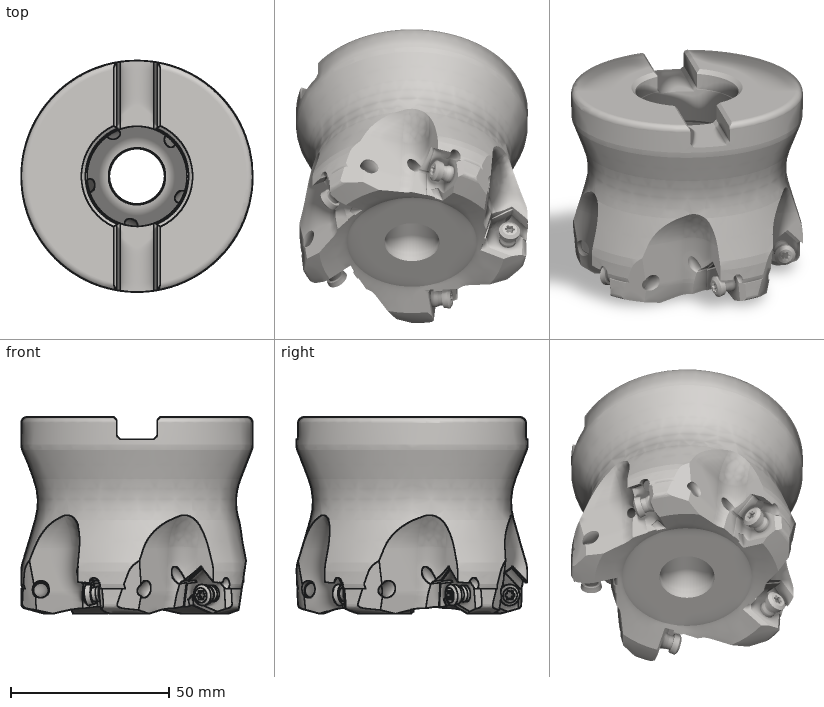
import cadquery as cq
import math


TOOTH_COUNT = 5
TOOTH_PITCH = 360 / TOOTH_COUNT

BODY_RADIUS = 36.6
BODY_HEIGHT = 62.2
TOP_ROUND = 2.0
SHOULDER_Z = 52.5
SHOULDER_ROUND = 5.0
NECK_Z = 36.2
NECK_VERTEX_RADIUS = 30.2
NECK_ROUND = 20.0
BELLY_Z = 14.8
BELLY_ROUND = 10.0
GROOVE_TOP_Z = 9.4
GROOVE_BOTTOM_Z = 7.8
GROOVE_DEPTH = 0.45
RIM_ROUND = 1.45
LIP_RADIUS = 29.3
LIP_ANGLE = 15.4
DISH_ANGLE = 20.0
DISH_INNER_RADIUS = 20.5

SCREW_BORE_RADIUS = 8.7
SCREW_BORE_CHAMFER = 0.3
ARBOR_BORE_RADIUS = 15.8
ARBOR_FLOOR_Z = 30.7
PILOT_RADIUS = 16.3
PILOT_BOTTOM_Z = 56.0
PILOT_CHAMFER = 1.25
RELIEF_RADIUS = 16.3
RELIEF_TOP_Z = 45.35
RELIEF_TAPER = 0.7
SLOT_WIDTH = 12.7
SLOT_FLOOR_Z = 55.15
SLOT_CHAMFER = 1.0
SLOT_HALF_LENGTH = 40.25

POCKET_REACH = 58.5
POCKET_BOTTOM_Z = -3.65
HEEL_WALL_AZIMUTH = -39.0
HEEL_WALL_OFFSET = 23.5
HEEL_WALL_TILT = 3.5
HEEL_WALL_LOW_TILT = 11.5
HEEL_WALL_BEND_Z = 6.5
HEEL_WALL_BEND_ROUND = 10.0
HEEL_RUNOUT_RADIUS = 14.3
TOOTH_WALL_AZIMUTH = -126.0
TOOTH_WALL_OFFSET = 8.1
TOOTH_RUNOUT_RADIUS = 20.0
RUNOUT_Z = 20.8
GULLET_RADIUS = 6.5

HEEL_FLAT_AZIMUTH = -72.5
HEEL_FLAT_TILT = -8.5
HEEL_FLAT_OFFSET = 31.7
HEEL_FLAT_END = 3.65

SEAT_AZIMUTH = -126.5
SEAT_TILT = -5.5
SEAT_CENTRE = (23.85, -18.65, 6.45)
SEAT_INNER_FOOT = (-8.55, -8.05)
SEAT_INNER_CORNER = (-5.8, 4.1)
SEAT_TOP_CORNER = (0.95, 8.8)
SEAT_OUTER_REACH = 10.25
SEAT_ROUND = 2.2
SEAT_WALL_HEIGHT = 5.1
SEAT_STEP = 0.4
SEAT_DEPTH = 13.2
CORNER_RELIEF_RADIUS = 0.5
SEAT_GROOVE_RADIUS = 1.75
SEAT_GROOVE_POINT = (0.0, 8.8, 0.9)
BEVEL_LENGTH = 10.25
SIDE_BEVEL_U = 4.75
SIDE_BEVEL_TOP_V = 1.45
SIDE_BEVEL_ANGLE = 45.0
FOOT_BEVEL_POINT = (-3.0, -4.2)
FOOT_BEVEL_SLOPE = -20.0
FOOT_BEVEL_ANGLE = 29.0
FOOT_BEVEL_WIDTH = 5.1
FOOT_BEVEL_HEIGHT = 2.55

THREAD_RADIUS = 2.6
THREAD_LENGTH = 9.9
THREAD_END_CHAMFER = 0.3
THREAD_RISE = 1.1
HOLE_LENGTH = 21.95
SHANK_RADIUS = 2.3
HEAD_RADIUS = 3.4
HEAD_FACE_RADIUS = 2.35
HEAD_TOP = 6.2
HEAD_LENGTH = 2.55
HEAD_BEVEL_LENGTH = 0.7
HEAD_TAPER = 0.3
SOCKET_DEPTH = 1.45
SOCKET_RADIUS = 1.2
LOBE_COUNT = 6
LOBE_RADIUS = 0.45

COOLANT_RADIUS = 1.6
COOLANT_INLET = (-1.8, -15.15, ARBOR_FLOOR_Z)
COOLANT_OUTLET = (12.45, -22.45, 12.45)
COOLANT_OVERRUN = 4.4


def tan(angle):
    """Tangent of an angle in degrees."""
    return math.tan(math.radians(angle))


def direction(azimuth, tilt=0.0):
    """Unit vector at an azimuth about Z, tilted up from the XY plane."""
    a = math.radians(azimuth)
    t = math.radians(tilt)
    return cq.Vector(math.cos(t) * math.cos(a), math.cos(t) * math.sin(a), math.sin(t))


def facing_plane(origin, azimuth, tilt):
    """Plane whose normal has the given azimuth and tilt, with a horizontal X axis."""
    return cq.Plane(origin=origin, xDir=direction(azimuth + 90), normal=direction(azimuth, tilt))


def around_axis(shape, index):
    """Copy of a tooth feature turned to the tooth with the given index."""
    return shape.rotate((0, 0, 0), (0, 0, 1), index * TOOTH_PITCH)


SEAT_PLANE = facing_plane(SEAT_CENTRE, SEAT_AZIMUTH, SEAT_TILT)


def body_blank():
    """Turned outer shape with a dished underside."""
    lip_rise = (BODY_RADIUS - LIP_RADIUS) * tan(LIP_ANGLE)
    dish_rise = (LIP_RADIUS - DISH_INNER_RADIUS) * tan(DISH_ANGLE)
    blank = (
        cq.Workplane("XZ")
        .moveTo(0, BODY_HEIGHT)
        .lineTo(BODY_RADIUS, BODY_HEIGHT)
        .lineTo(BODY_RADIUS, SHOULDER_Z)
        .lineTo(NECK_VERTEX_RADIUS, NECK_Z)
        .lineTo(BODY_RADIUS, BELLY_Z)
        .lineTo(BODY_RADIUS, GROOVE_TOP_Z)
        .lineTo(BODY_RADIUS - GROOVE_DEPTH, GROOVE_BOTTOM_Z)
        .lineTo(BODY_RADIUS, GROOVE_BOTTOM_Z)
        .lineTo(BODY_RADIUS, lip_rise)
        .lineTo(LIP_RADIUS, 0)
        .lineTo(DISH_INNER_RADIUS, dish_rise)
        .lineTo(0, dish_rise)
        .close()
        .revolve(360, (0, 0, 0), (0, 1, 0))
    )
    rounds = (
        (BODY_HEIGHT, TOP_ROUND),
        (SHOULDER_Z, SHOULDER_ROUND),
        (NECK_Z, NECK_ROUND),
        (BELLY_Z, BELLY_ROUND),
        (lip_rise, RIM_ROUND),
    )
    for z, size in rounds:
        corner = cq.selectors.NearestToPointSelector((0, 0, z))
        blank = blank.edges("%CIRCLE").edges(corner).fillet(size)
    return blank


def arbor_bore():
    """Stepped and relieved bore for the arbor and its clamping bolt."""
    return (
        cq.Workplane("XZ")
        .moveTo(0, BODY_HEIGHT)
        .lineTo(PILOT_RADIUS + PILOT_CHAMFER, BODY_HEIGHT)
        .lineTo(PILOT_RADIUS, BODY_HEIGHT - PILOT_CHAMFER)
        .lineTo(PILOT_RADIUS, PILOT_BOTTOM_Z)
        .lineTo(ARBOR_BORE_RADIUS, PILOT_BOTTOM_Z)
        .lineTo(ARBOR_BORE_RADIUS, RELIEF_TOP_Z)
        .lineTo(RELIEF_RADIUS, RELIEF_TOP_Z - RELIEF_TAPER)
        .lineTo(RELIEF_RADIUS, ARBOR_FLOOR_Z)
        .lineTo(SCREW_BORE_RADIUS + SCREW_BORE_CHAMFER, ARBOR_FLOOR_Z)
        .lineTo(SCREW_BORE_RADIUS, ARBOR_FLOOR_Z - SCREW_BORE_CHAMFER)
        .lineTo(SCREW_BORE_RADIUS, 0)
        .lineTo(0, 0)
        .close()
        .revolve(360, (0, 0, 0), (0, 1, 0))
    )


def drive_slot():
    """Slot along Y across the top, with bevelled mouth and floor corners."""
    half = SLOT_WIDTH / 2
    right_side = [
        (half + SLOT_CHAMFER, BODY_HEIGHT),
        (half, BODY_HEIGHT - SLOT_CHAMFER),
        (half, SLOT_FLOOR_Z + SLOT_CHAMFER),
        (half - SLOT_CHAMFER, SLOT_FLOOR_Z),
    ]
    left_side = [(-x, z) for x, z in reversed(right_side)]
    return cq.Workplane("XZ").polyline(right_side + left_side).close().extrude(SLOT_HALF_LENGTH, both=True)


def wall_prism(azimuth, tilt, lower_points, runout_radius):
    """Space in front of a pocket wall.

    The wall rises through (offset, z) points, leaving the last one at a tilt to curve outward.
    """
    plane = cq.Plane(origin=(0, 0, 0), xDir=direction(azimuth), normal=direction(azimuth - 90))
    runout_offset, runout_z = lower_points[-1]
    start_angle = math.radians(tilt)
    middle_angle = (start_angle + math.pi / 2) / 2
    centre_offset = runout_offset + runout_radius * math.cos(start_angle)
    centre_z = runout_z - runout_radius * math.sin(start_angle)
    arc_middle = (
        centre_offset - runout_radius * math.cos(middle_angle),
        centre_z + runout_radius * math.sin(middle_angle),
    )
    arc_end = (centre_offset, centre_z + runout_radius)
    return (
        cq.Workplane(plane)
        .polyline([(POCKET_REACH, arc_end[1]), (POCKET_REACH, POCKET_BOTTOM_Z), *lower_points])
        .threePointArc(arc_middle, arc_end)
        .close()
        .extrude(POCKET_REACH, both=True)
    )


def heel_prism():
    """Space in front of the heel wall, which bends near its foot."""
    bend_offset = HEEL_WALL_OFFSET - (RUNOUT_Z - HEEL_WALL_BEND_Z) * tan(HEEL_WALL_TILT)
    foot_offset = bend_offset - (HEEL_WALL_BEND_Z - POCKET_BOTTOM_Z) * tan(HEEL_WALL_LOW_TILT)
    points = [(foot_offset, POCKET_BOTTOM_Z), (bend_offset, HEEL_WALL_BEND_Z), (HEEL_WALL_OFFSET, RUNOUT_Z)]
    prism = wall_prism(HEEL_WALL_AZIMUTH, HEEL_WALL_TILT, points, HEEL_RUNOUT_RADIUS)
    bend = direction(HEEL_WALL_AZIMUTH) * bend_offset + cq.Vector(0, 0, HEEL_WALL_BEND_Z)
    return prism.edges(cq.selectors.NearestToPointSelector(bend.toTuple())).fillet(HEEL_WALL_BEND_ROUND)


def tooth_prism():
    """Space in front of the upright tooth wall."""
    points = [(TOOTH_WALL_OFFSET, POCKET_BOTTOM_Z), (TOOTH_WALL_OFFSET, RUNOUT_Z)]
    return wall_prism(TOOTH_WALL_AZIMUTH, 0, points, TOOTH_RUNOUT_RADIUS)


def chip_pocket():
    """Space cut ahead of one tooth, with the gullet rounding the edges where its two walls meet."""
    pocket = heel_prism().intersect(tooth_prism())
    heel_foot = direction(HEEL_WALL_AZIMUTH) * HEEL_WALL_OFFSET
    tooth_foot = direction(TOOTH_WALL_AZIMUTH) * TOOTH_WALL_OFFSET
    corner = heel_foot + tooth_foot
    low = (corner.x - GULLET_RADIUS, corner.y - 2 * GULLET_RADIUS, POCKET_BOTTOM_Z / 2)
    high = (corner.x + GULLET_RADIUS, corner.y + GULLET_RADIUS, BODY_HEIGHT)
    return pocket.edges(cq.selectors.BoxSelector(low, high)).fillet(GULLET_RADIUS)


def heel_flat():
    """Slab that flattens the tail of a tooth beside the chip pocket."""
    normal = direction(HEEL_FLAT_AZIMUTH, HEEL_FLAT_TILT)
    plane = facing_plane(normal * HEEL_FLAT_OFFSET, HEEL_FLAT_AZIMUTH, HEEL_FLAT_TILT)
    slab = cq.Workplane(plane).box(BODY_RADIUS, BODY_HEIGHT, BODY_RADIUS, centered=(False, True, False))
    return slab.translate(direction(HEEL_FLAT_AZIMUTH + 90) * (HEEL_FLAT_END - BODY_RADIUS))


def seat_prism(step, bottom, top):
    """Seat space between two heights, with its two inner walls set back by a step."""
    corner_u, corner_v = SEAT_TOP_CORNER
    points = [
        (SEAT_INNER_FOOT[0] - step, SEAT_INNER_FOOT[1]),
        (SEAT_INNER_CORNER[0] - step, SEAT_INNER_CORNER[1] + step / 2),
        (corner_u - step, corner_v + step),
        (SEAT_OUTER_REACH, corner_u + corner_v - SEAT_OUTER_REACH),
        (SEAT_OUTER_REACH, SEAT_INNER_FOOT[1]),
    ]
    return cq.Workplane(SEAT_PLANE).workplane(offset=bottom).polyline(points).close().extrude(top - bottom)


def seat_point(start, end):
    """Point on the seat halfway between two (U, V) points."""
    return SEAT_PLANE.toWorldCoords(((start[0] + end[0]) / 2, (start[1] + end[1]) / 2, 0)).toTuple()


def seat_plane_at(u, v):
    """Seat frame moved to another point of the seat."""
    origin = SEAT_PLANE.toWorldCoords((u, v, 0))
    return cq.Plane(origin=origin, xDir=SEAT_PLANE.xDir, normal=SEAT_PLANE.zDir)


def insert_seat():
    """Recess for one insert: stepped inner walls with a rounded foot, and a relieved corner."""
    lower = seat_prism(0, 0, SEAT_WALL_HEIGHT)
    for wall_end in (SEAT_INNER_FOOT, SEAT_TOP_CORNER):
        foot = seat_point(wall_end, SEAT_INNER_CORNER)
        lower = lower.edges(cq.selectors.NearestToPointSelector(foot)).fillet(SEAT_ROUND)
    upper = seat_prism(SEAT_STEP, SEAT_WALL_HEIGHT, SEAT_DEPTH)
    corner = cq.Workplane(SEAT_PLANE).center(*SEAT_INNER_CORNER)
    relief = corner.circle(CORNER_RELIEF_RADIUS).extrude(SEAT_DEPTH)
    return lower.union(upper).union(relief)


def seat_groove():
    """Round groove along the foot of the outer upper wall, running out through the tooth side."""
    start = SEAT_PLANE.toWorldCoords(SEAT_GROOVE_POINT)
    way = SEAT_PLANE.xDir - SEAT_PLANE.yDir
    return cq.Workplane(cq.Solid.makeCylinder(SEAT_GROOVE_RADIUS, 2 * SEAT_OUTER_REACH, start, way))


def side_bevel():
    """Wedge that bevels the outer upright edge of the seat."""
    plane = seat_plane_at(SIDE_BEVEL_U, SIDE_BEVEL_TOP_V).rotated((0, SIDE_BEVEL_ANGLE, 0))
    block = cq.Workplane(plane).box(BEVEL_LENGTH, BEVEL_LENGTH, BEVEL_LENGTH, centered=(True, False, False))
    return block.translate(SEAT_PLANE.yDir * -BEVEL_LENGTH)


def foot_bevel():
    """Wedge that bevels the sloping foot of the seat."""
    along_foot = seat_plane_at(*FOOT_BEVEL_POINT).rotated((0, 0, FOOT_BEVEL_SLOPE))
    plane = along_foot.rotated((FOOT_BEVEL_ANGLE, 0, 0))
    size = (BEVEL_LENGTH, FOOT_BEVEL_WIDTH, FOOT_BEVEL_HEIGHT)
    return cq.Workplane(plane).box(*size, centered=(True, True, False))


def screw_hole():
    """Threaded hole through the tooth, from the seat to the next chip pocket."""
    return cq.Workplane(SEAT_PLANE).circle(THREAD_RADIUS).extrude(-HOLE_LENGTH)


def coolant_hole():
    """Sloping hole from the edge of the arbor floor to the gullet."""
    inlet = cq.Vector(*COOLANT_INLET)
    way = cq.Vector(*COOLANT_OUTLET) - inlet
    start = inlet - way.normalized() * COOLANT_OVERRUN
    return cq.Workplane(cq.Solid.makeCylinder(COOLANT_RADIUS, way.Length + 2 * COOLANT_OVERRUN, start, way))


def cutter_body():
    """Cutter body, with every tooth feature cut at each tooth."""
    tooth_features = (
        chip_pocket(),
        heel_flat(),
        insert_seat(),
        seat_groove(),
        side_bevel(),
        foot_bevel(),
        screw_hole(),
        coolant_hole(),
    )
    body = body_blank().cut(arbor_bore()).cut(drive_slot()).val()
    cuts = [around_axis(feature, index).val() for index in range(TOOTH_COUNT) for feature in tooth_features]
    return body.cut(*cuts).Solids()[0]


def clamping_screw():
    """Screw of the first tooth: lobed socket head, plain shank and thread."""
    head_foot = HEAD_TOP - HEAD_LENGTH
    blank = (
        cq.Workplane("XZ")
        .moveTo(0, HEAD_TOP)
        .lineTo(HEAD_FACE_RADIUS, HEAD_TOP)
        .lineTo(HEAD_RADIUS, HEAD_TOP - HEAD_BEVEL_LENGTH)
        .lineTo(HEAD_RADIUS - HEAD_TAPER, head_foot)
        .lineTo(SHANK_RADIUS, head_foot)
        .lineTo(SHANK_RADIUS, 2 * THREAD_RISE)
        .lineTo(THREAD_RADIUS, THREAD_RISE)
        .lineTo(THREAD_RADIUS, THREAD_END_CHAMFER - THREAD_LENGTH)
        .lineTo(THREAD_RADIUS - THREAD_END_CHAMFER, -THREAD_LENGTH)
        .lineTo(0, -THREAD_LENGTH)
        .close()
        .revolve(360, (0, 0, 0), (0, 1, 0))
    )
    socket_plane = cq.Workplane("XY", origin=(0, 0, HEAD_TOP))
    socket = socket_plane.circle(SOCKET_RADIUS).extrude(-SOCKET_DEPTH)
    lobe_centres = socket_plane.polarArray(SOCKET_RADIUS, 0, 360, LOBE_COUNT)
    lobes = lobe_centres.circle(LOBE_RADIUS).extrude(-SOCKET_DEPTH)
    screw = blank.cut(socket.union(lobes)).solids().val()
    return screw.moved(cq.Location(SEAT_PLANE))


cutter = cutter_body()
first_screw = clamping_screw()
screws = [around_axis(first_screw, index) for index in range(TOOTH_COUNT)]
result = cq.Compound.makeCompound([cutter, *screws])